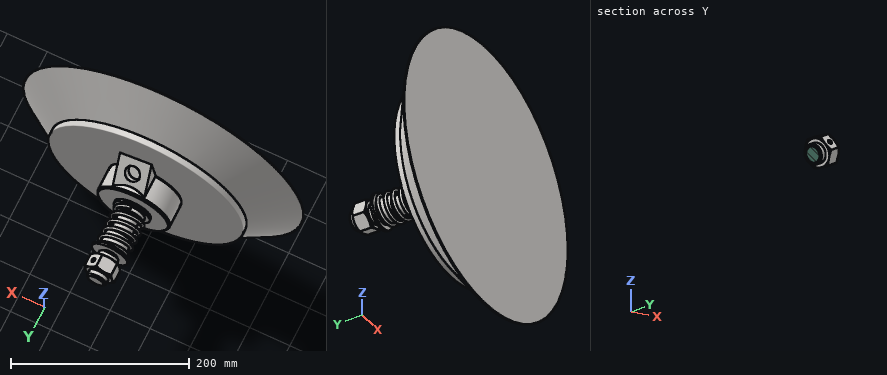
import cadquery as cq
import math


rim_diameter = 350.0
rim_thickness = 1.0
rim_chamfer = 0.5
collar_diameter = 244.0
collar_bottom = 38.0
cup_height = 46.4
cup_edge_fillet = 1.0

hub_diameter = 90.57
hub_top = 79.0
hub_edge_setback = 1.5
hub_edge_height = 2.0
hub_base_setback = 0.5
hub_base_height = 0.8

wedge_width = 40.0
wedge_reach = 70.0
wedge_turn = 10.0
port_diameter = 18.63
port_depth = 10.0
port_center_height = 13.5

washer_diameter = 45.0
washer_thickness = 3.0
lower_sleeve_diameter = 33.0
lower_sleeve_height = 5.5
rod_diameter = 25.0
upper_washer_bottom = 136.0
upper_sleeve_diameter = 32.0
upper_sleeve_height = 20.0
groove_diameter = 19.6
groove_width = 2.0
thread_diameter = 24.0
thread_chamfer = 2.0
stem_top = 174.28

nut_sides = 6
nut_across_flats = 34.0
nut_height = 18.0
thread_above_nut = 8.0
nut_turn = 18.6
nut_chamfer_angle = 30.0
set_screw_diameter = 4.92

wire_diameter = 4.0
spring_mean_diameter = 37.0
spring_pitch = 10.0
spring_turns = 5.1
weld_depth = 0.1

nut_top = stem_top - thread_above_nut
nut_bottom = nut_top - nut_height
lower_washer_top = hub_top + washer_thickness
lower_sleeve_top = lower_washer_top + lower_sleeve_height
upper_sleeve_bottom = upper_washer_bottom - upper_sleeve_height
upper_washer_top = upper_washer_bottom + washer_thickness
thread_bottom = upper_washer_top + groove_width


def cylinder(diameter, bottom, top):
    """Cylinder on the Y axis between two levels."""
    disc = cq.Workplane("XZ", origin=(0, bottom, 0)).circle(diameter / 2)
    return disc.extrude(bottom - top)


def turned(profile):
    """Solid of revolution about Y from (radius, level) points."""
    return cq.Workplane("XY").polyline(profile).close().revolve(360, (0, 0), (0, 1))


def make_cup():
    rim_radius = rim_diameter / 2
    collar_radius = collar_diameter / 2
    cup = turned([
        (0, 0),
        (rim_radius - rim_chamfer, 0),
        (rim_radius, rim_chamfer),
        (rim_radius, rim_thickness),
        (collar_radius, collar_bottom),
        (collar_radius, cup_height),
        (0, cup_height),
    ])
    return cup.faces(">Y").edges().fillet(cup_edge_fillet)


def make_hub():
    radius = hub_diameter / 2
    return turned([
        (0, cup_height),
        (radius - hub_base_setback, cup_height),
        (radius, cup_height + hub_base_height),
        (radius, hub_top - hub_edge_height),
        (radius - hub_edge_setback, hub_top),
        (0, hub_top),
    ])


def make_wedge():
    """45 degree wedge, built reaching along +Z and then turned about the axis."""
    wedge_rise = hub_top - hub_edge_height - cup_height
    side = cq.Plane(origin=(wedge_width / 2, cup_height, 0), xDir=(0, 0, 1), normal=(-1, 0, 0))
    wedge = (
        cq.Workplane(side)
        .polyline([(0, 0), (wedge_reach, 0), (wedge_reach - wedge_rise, wedge_rise), (0, wedge_rise)])
        .close()
        .extrude(wedge_width)
    )
    return wedge.rotate((0, 0, 0), (0, 1, 0), wedge_turn)


def make_port():
    """Blind hole square to the sloping face of the wedge."""
    center = (0, cup_height + port_center_height, wedge_reach - port_center_height)
    slope = cq.Plane(origin=center, xDir=(1, 0, 0), normal=(0, 1, 1))
    port = cq.Workplane(slope).circle(port_diameter / 2).extrude(-port_depth)
    return port.rotate((0, 0, 0), (0, 1, 0), wedge_turn)


def make_stem():
    stem = cylinder(thread_diameter, thread_bottom, stem_top).faces(">Y").chamfer(thread_chamfer)
    sections = [
        (washer_diameter, hub_top, lower_washer_top),
        (lower_sleeve_diameter, lower_washer_top, lower_sleeve_top),
        (rod_diameter, lower_sleeve_top, upper_sleeve_bottom),
        (upper_sleeve_diameter, upper_sleeve_bottom, upper_washer_bottom),
        (washer_diameter, upper_washer_bottom, upper_washer_top),
        (groove_diameter, upper_washer_top, thread_bottom),
    ]
    for diameter, bottom, top in sections:
        stem = stem.union(cylinder(diameter, bottom, top))
    return stem


def make_nut():
    """Hexagon with conical corner chamfers at both ends."""
    corner_radius = nut_across_flats / math.sqrt(3)
    flat_radius = nut_across_flats / 2
    drop = (corner_radius - flat_radius) * math.tan(math.radians(nut_chamfer_angle))
    prism = (
        cq.Workplane("XZ", origin=(0, nut_bottom, 0))
        .polygon(nut_sides, 2 * corner_radius)
        .extrude(-nut_height)
        .rotate((0, 0, 0), (0, 1, 0), -nut_turn)
    )
    envelope = turned([
        (0, nut_bottom),
        (flat_radius, nut_bottom),
        (corner_radius, nut_bottom + drop),
        (corner_radius, nut_top - drop),
        (flat_radius, nut_top),
        (0, nut_top),
    ])
    return prism.intersect(envelope)


def make_set_screw_hole():
    """Radial hole from one flat of the nut to the thread."""
    angle = math.radians(nut_turn + 180 / nut_sides)
    direction = cq.Vector(math.cos(angle), 0, math.sin(angle))
    start = direction * (thread_diameter / 2) + cq.Vector(0, nut_bottom + nut_height / 2, 0)
    depth = (nut_across_flats - thread_diameter) / 2
    return cq.Workplane(cq.Solid.makeCylinder(set_screw_diameter / 2, depth, start, direction))


def make_spring():
    """Round-wire helix that starts at +Z on the lower washer and runs into the upper one."""
    wire_radius = wire_diameter / 2
    mean_radius = spring_mean_diameter / 2
    start_level = lower_washer_top + wire_radius - weld_depth
    path = cq.Wire.makeHelix(spring_pitch, spring_pitch * spring_turns, mean_radius)
    coil = cq.Workplane("XZ").center(mean_radius, 0).circle(wire_radius).sweep(path, isFrenet=True)
    coil = coil.rotate((0, 0, 0), (1, 0, 0), -90)
    coil = coil.rotate((0, 0, 0), (0, 1, 0), -90)
    return coil.translate((0, start_level, 0))


def make_holder():
    holder = make_hub().union(make_wedge()).cut(make_port())
    holder = holder.union(make_stem()).union(make_nut()).cut(make_set_screw_hole())
    return holder.union(make_spring())


cup = make_cup()
holder = make_holder()

result = cq.Compound.makeCompound([*cup.solids().vals(), *holder.solids().vals()])